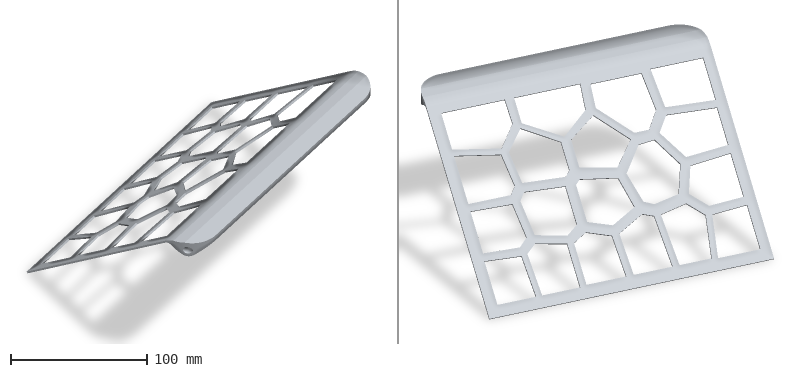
import cadquery as cq
import math


LENGTH = 157.8
WIDTH = 224.2
HEIGHT = 114.8

PANEL_ANGLE = 40.0
PANEL_THICKNESS = 1.5

FLAT_LENGTH = 13.5
CORNER_RADIUS = 22.2
STRIP_DROP = 1.8
BEND_END = 29.4

PIN_DIAMETER = 6.5
PIN_SETBACK = 11.5
PIN_DEPTH = 7.5
LUG_RADIUS = 6.0
LUG_BACK_ANGLE = 28.0
LUG_FRONT_ANGLE = 43.0
LUG_FILLET = 5.0

LOW = 9.2
LOW_INNER = 10.0
HIGH = 160.7
HIGH_INNER = 159.0
LEFT = 103.1
LEFT_INNER = 102.5
RIGHT = -104.0
RIGHT_INNER = -103.3

FREE_EDGE_ROW = [
    [(LOW, LEFT), (43.7, LEFT), (41.7, 74.5), (LOW, 72.6)],
    [(LOW, 68.0), (42.4, 69.7), (48.9, 61.6), (43.7, 37.9), (LOW, 37.9)],
    [(LOW_INNER, 32.7), (43.0, 32.7), (49.3, 21.5), (42.5, 3.0), (LOW_INNER, 1.3)],
    [(LOW_INNER, -4.5), (43.0, -3.0), (54.0, -24.2), (50.7, -32.7), (LOW_INNER, -35.2)],
    [(LOW_INNER, -40.5), (50.7, -37.9), (55.0, -59.2), (43.3, -71.0), (LOW_INNER, -66.0)],
    [(LOW, -70.5), (42.5, -76.0), (44.4, RIGHT), (LOW, RIGHT)],
]
LOWER_MIDDLE_ROW = [
    [(49.8, LEFT_INNER), (83.0, LEFT_INNER), (81.8, 69.7), (55.0, 66.5), (48.5, 73.7)],
    [(55.1, 60.0), (82.7, 63.2), (89.0, 58.5), (86.7, 26.5), (56.5, 26.5), (49.8, 35.9)],
    [(56.7, 18.4), (86.0, 18.4), (89.7, 14.3), (84.7, -14.3), (60.5, -20.2), (50.2, 0.0)],
    [(63.0, -27.8), (86.5, -21.5), (106.3, -37.0), (107.4, -49.8), (85.2, -63.7), (63.2, -55.8), (59.5, -35.5)],
    [(49.5, -75.5), (61.6, -63.2), (82.5, -70.5), (85.5, RIGHT_INNER), (50.9, RIGHT_INNER)],
]
UPPER_MIDDLE_ROW = [
    [(88.8, LEFT_INNER), (126.9, LEFT_INNER), (120.4, 67.0), (95.0, 63.9), (88.8, 68.8)],
    [(96.0, 57.8), (120.8, 61.0), (137.0, 47.0), (120.4, 20.0), (98.2, 20.0), (93.7, 24.2)],
    [(98.5, 12.0), (120.4, 12.0), (135.2, -9.9), (111.5, -32.3), (92.4, -16.0)],
    [(89.5, -69.3), (111.6, -55.0), (124.0, -63.9), (121.5, RIGHT_INNER), (92.0, RIGHT_INNER)],
]
HINGE_ROW = [
    [(131.8, LEFT_INNER), (HIGH, LEFT_INNER), (HIGH, 52.2), (141.7, 51.8), (124.9, 65.5)],
    [(140.5, 45.0), (HIGH, 45.0), (HIGH, -7.2), (140.5, -5.4), (123.7, 16.4)],
    [(140.0, -13.2), (HIGH_INNER, -14.5), (HIGH_INNER, -55.0), (129.3, -57.5), (115.7, -48.0), (115.7, -36.3)],
    [(129.8, -64.8), (HIGH, -62.3), (HIGH, RIGHT), (127.3, RIGHT)],
]
CELLS = FREE_EDGE_ROW + LOWER_MIDDLE_ROW + UPPER_MIDDLE_ROW + HINGE_ROW

panel_sin = math.sin(math.radians(PANEL_ANGLE))
panel_cos = math.cos(math.radians(PANEL_ANGLE))
panel_slope = panel_sin / panel_cos
back_angle = math.radians(LUG_BACK_ANGLE)
front_angle = math.radians(LUG_FRONT_ANGLE)

free_top = (-LENGTH, -HEIGHT + PANEL_THICKNESS * panel_cos)
free_bottom = (-LENGTH + PANEL_THICKNESS * panel_sin, -HEIGHT)
panel_end = (-BEND_END, free_top[1] + (LENGTH - BEND_END) * panel_slope)

pin = (-PIN_SETBACK, -PIN_DEPTH)
nose_back = (pin[0] - LUG_RADIUS * math.sin(back_angle), pin[1] - LUG_RADIUS * math.cos(back_angle))
nose_bottom = (pin[0], pin[1] - LUG_RADIUS)
nose_front = (pin[0] + LUG_RADIUS * math.sin(front_angle), pin[1] - LUG_RADIUS * math.cos(front_angle))
face_bottom = (0, nose_front[1] - nose_front[0] * math.tan(front_angle))

back_slope = math.tan(back_angle)
underside_gap = nose_back[1] - free_bottom[1] - (nose_back[0] - free_bottom[0]) * panel_slope
root_x = nose_back[0] + underside_gap / (panel_slope + back_slope)
root = (root_x, free_bottom[1] + (root_x - free_bottom[0]) * panel_slope)


def make_body():
    """Panel and hinge section, extruded over the full width."""
    section = (
        cq.Workplane("XZ")
        .moveTo(*free_top)
        .lineTo(*panel_end)
        .tangentArcPoint((-CORNER_RADIUS, -STRIP_DROP), relative=False)
        .lineTo(-FLAT_LENGTH, 0)
        .lineTo(0, 0)
        .lineTo(*face_bottom)
        .lineTo(*nose_front)
        .threePointArc(nose_bottom, nose_back)
        .lineTo(*root)
        .lineTo(*free_bottom)
        .close()
    )
    body = section.extrude(WIDTH / 2, both=True)
    root_edge = cq.selectors.NearestToPointSelector((root[0], 0, root[1]))
    return body.edges(root_edge).fillet(LUG_FILLET)


def make_footprint():
    """Block whose two hinge-side corners are rounded."""
    block = cq.Workplane("XY").box(LENGTH, WIDTH, HEIGHT)
    return block.edges("|Z and >X").fillet(CORNER_RADIUS).translate((-LENGTH / 2, 0, -HEIGHT / 2))


def make_pin_hole():
    """Hinge pin bore along the full width."""
    return cq.Workplane("XZ").center(*pin).circle(PIN_DIAMETER / 2).extrude(WIDTH / 2, both=True)


def make_cells():
    """Grille openings, square to the panel and starting on its upper face."""
    panel_face = cq.Plane(
        origin=(free_top[0], 0, free_top[1]),
        xDir=(panel_cos, 0, panel_sin),
        normal=(-panel_sin, 0, panel_cos),
    )
    openings = cq.Workplane(panel_face)
    for outline in CELLS:
        openings = openings.polyline(outline).close()
    return openings.extrude(PANEL_THICKNESS, both=True)


result = make_body().intersect(make_footprint()).cut(make_pin_hole()).cut(make_cells())